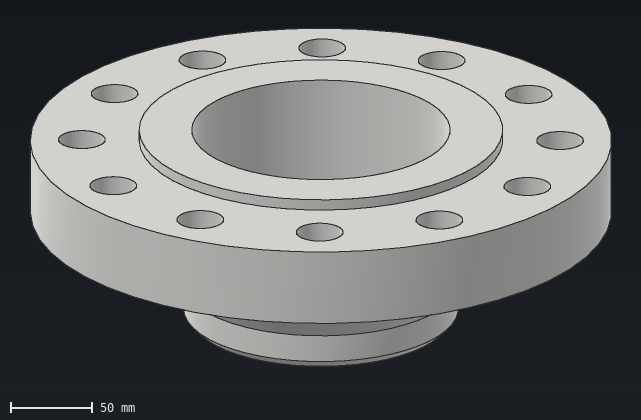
import cadquery as cq

flange_diameter = 355.5
flange_thickness = 47.3
face_diameter = 222.2
face_height = 6.8
total_height = 123.7
bore_diameter = 158.0

hub_diameter = 222.2
neck_diameter = 168.2
neck_height = 22.5
weld_bevel_height = 5.5
weld_bevel_width = 5.0

bolt_count = 12
bolt_circle_diameter = 292.3
bolt_hole_diameter = 28.5

flange_top = total_height - face_height
flange_bottom = flange_top - flange_thickness


def revolved_body():
    """Revolve the solid half section about Z, with the neck end at Z = 0."""
    neck_radius = neck_diameter / 2
    return (
        cq.Workplane("XZ")
        .moveTo(0, 0)
        .lineTo(neck_radius - weld_bevel_width, 0)
        .lineTo(neck_radius, weld_bevel_height)
        .lineTo(neck_radius, neck_height)
        .lineTo(hub_diameter / 2, flange_bottom)
        .lineTo(flange_diameter / 2, flange_bottom)
        .lineTo(flange_diameter / 2, flange_top)
        .lineTo(face_diameter / 2, flange_top)
        .lineTo(face_diameter / 2, total_height)
        .lineTo(0, total_height)
        .close()
        .revolve(360, (0, 0), (0, 1))
    )


def bore():
    return cq.Workplane("XY").circle(bore_diameter / 2).extrude(total_height)


def bolt_holes():
    half_pitch_angle = 180 / bolt_count
    return (
        cq.Workplane("XY")
        .workplane(offset=flange_bottom)
        .polarArray(bolt_circle_diameter / 2, half_pitch_angle, 360, bolt_count)
        .circle(bolt_hole_diameter / 2)
        .extrude(flange_thickness)
    )


result = revolved_body().cut(bore()).cut(bolt_holes())